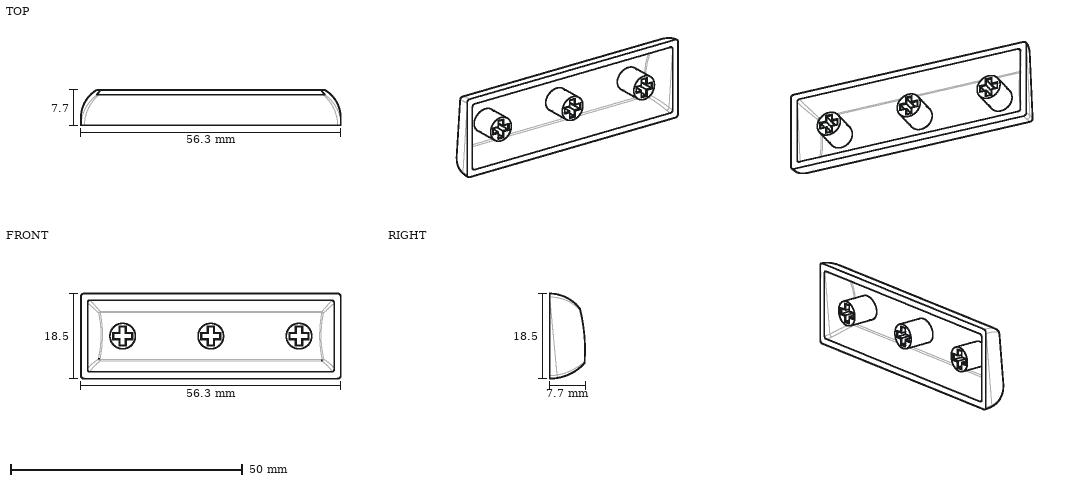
import cadquery as cq
import math

length = 56.3
height = 18.45
depth = 7.7
wall = 1.45

crown_radius = 37.15
apex_z = -3.1

upper_radius = 8.2
lower_radius = 10.25

end_radius = 7.6
end_band = 0.8
end_tilt = 5.4

corner_radius = 0.75
cavity_fillet = 0.55

stem_diameter = 5.5
stem_pitch = 19.1
socket_span = 3.95
socket_arm = 1.2
socket_chamfer = 0.15
stem_positions = (-stem_pitch, 0, stem_pitch)

SIN45 = math.sqrt(0.5)


def quarter_mid(center, start, end):
    """Middle of the quarter arc about center that runs from start to end."""
    return tuple(c + SIN45 * (s - c + e - c) for c, s, e in zip(center, start, end))


def long_walls(inset):
    """Bar along X whose two long sides are quarter arcs, tangent to Y at the rim."""
    lower_center = (0, lower_radius - height / 2)
    lower_rim = (0, inset - height / 2)
    lower_back = (lower_radius - inset, lower_center[1])
    upper_center = (0, height / 2 - upper_radius)
    upper_rim = (0, height / 2 - inset)
    upper_back = (upper_radius - inset, upper_center[1])
    return (
        cq.Workplane("YZ")
        .moveTo(-depth, lower_rim[1])
        .lineTo(*lower_rim)
        .threePointArc(quarter_mid(lower_center, lower_rim, lower_back), lower_back)
        .lineTo(*upper_back)
        .threePointArc(quarter_mid(upper_center, upper_back, upper_rim), upper_rim)
        .lineTo(-depth, upper_rim[1])
        .close()
        .extrude(length, both=True)
    )


def crown(inset):
    """Large cylinder along X whose back forms the crown."""
    axis = cq.Workplane("YZ").center(depth - crown_radius, apex_z)
    return axis.circle(crown_radius - inset).extrude(length, both=True)


def end_walls(inset):
    """Tilted prism whose two quarter-round corners form the end walls."""
    tilt = math.radians(end_tilt)
    plane = cq.Plane(origin=(0, 0, 0), xDir=(1, 0, 0), normal=(0, -math.sin(tilt), math.cos(tilt)))
    side = length / 2 - inset
    center = (end_radius - length / 2, end_band)
    band_end = (-side, end_band)
    back = (center[0], end_band + end_radius - inset)
    arc_mid = quarter_mid(center, band_end, back)
    return (
        cq.Workplane(plane)
        .moveTo(-side, -depth)
        .lineTo(*band_end)
        .threePointArc(arc_mid, back)
        .lineTo(-back[0], back[1])
        .threePointArc((-arc_mid[0], arc_mid[1]), (side, end_band))
        .lineTo(side, -depth)
        .close()
        .extrude(height, both=True)
    )


def corner_edges():
    """Selector for the edges where the long walls meet the end walls."""
    corner_x = 0.4 * length
    corner_z = 0.3 * height
    lower_left = cq.selectors.BoxSelector((-length, -depth, -height), (-corner_x, depth, -corner_z))
    lower_right = cq.selectors.BoxSelector((corner_x, -depth, -height), (length, depth, -corner_z))
    upper_left = cq.selectors.BoxSelector((-length, -depth, corner_z), (-corner_x, depth, height))
    upper_right = cq.selectors.BoxSelector((corner_x, -depth, corner_z), (length, depth, height))
    return lower_left + lower_right + upper_left + upper_right


def envelope(inset, corner_fillet):
    """Cap shape shrunk by inset, with rounded corners, running on past the rim."""
    walls = long_walls(inset).intersect(end_walls(inset))
    return walls.edges(corner_edges()).fillet(corner_fillet).intersect(crown(inset))


def cavity():
    """Hollow that leaves an even wall, with the edge of its floor rounded."""
    hollow = envelope(wall, cavity_fillet)
    floor_middle = cq.selectors.BoxSelector(
        (-length / 4, depth / 2, -height / 4),
        (length / 4, depth, height / 4),
    )
    return hollow.faces(floor_middle).edges().fillet(cavity_fillet)


def stem_posts():
    """Round posts from the rim plane into the crown."""
    centers = [(x, 0) for x in stem_positions]
    posts = cq.Workplane("XZ").pushPoints(centers).circle(stem_diameter / 2).extrude(-depth)
    return posts.intersect(crown(wall / 2))


def socket(x):
    """Cross-shaped socket that reaches the underside of the crown."""

    def bar(width, height_z):
        straight = cq.Workplane("XZ").center(x, 0).rect(width, height_z).extrude(-depth)
        mouth = (
            cq.Workplane("XZ")
            .center(x, 0)
            .rect(width + 2 * socket_chamfer, height_z + 2 * socket_chamfer)
            .workplane(offset=-socket_chamfer)
            .rect(width, height_z)
            .loft(ruled=True)
        )
        return straight.union(mouth)

    cross = bar(socket_span, socket_arm).union(bar(socket_arm, socket_span))
    return cross.intersect(crown(wall))


behind_rim = cq.Workplane("XY").box(2 * length, depth, 2 * height, centered=(True, False, True))
result = envelope(0, corner_radius).intersect(behind_rim).cut(cavity()).union(stem_posts())
for stem_x in stem_positions:
    result = result.cut(socket(stem_x))